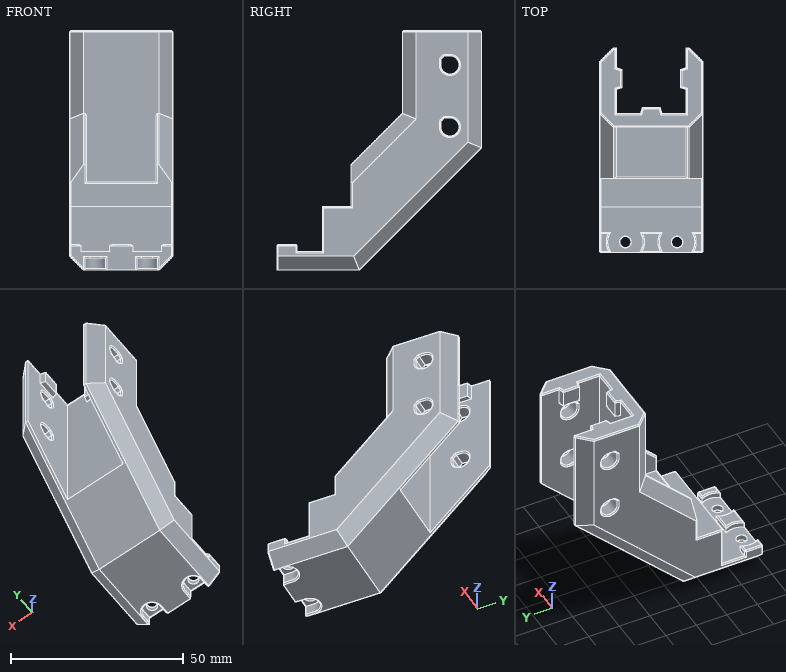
import cadquery as cq
import math

WIDTH = 30.0
DEPTH = 59.41
HEIGHT = 69.46
HALF_WIDTH = WIDTH / 2

COLUMN_BACK_HEIGHT = 34.0
COLUMN_FRONT_HEIGHT = 24.0
COLUMN_DEPTH = 23.0
STRUT_FRONT_Y = 21.5
LEDGE_Z = 18.4
RISER_Y = 13.2
FOOT_THICKNESS = 5.4
LUG_DEPTH = 5.9
LUG_HEIGHT = 2.0

BIG_BEVEL = 4.0
SMALL_BEVEL = 0.4
BEVEL_ANGLE = 45

CHANNEL_WIDTH = 20.2
FRONT_WALL = 4.0
KEY_TIP_WIDTH = 5.2
KEY_ROOT_WIDTH = 6.2
KEY_PROJECTION = 1.65
KEY_EMBED = 0.5
KEY_LENGTH = 5.5

SIDE_HOLE_RADIUS = 2.65
TEARDROP_REACH = 3.0
SIDE_HOLE_BACK_OFFSET = 9.2
SIDE_HOLE_TOP_OFFSET = 9.95
SIDE_HOLE_SPACING = 18.0

POCKET_WIDTH = CHANNEL_WIDTH
POCKET_FLOOR_Z = 25.5

SCREW_X = 7.5
SCREW_Y = 3.1
SCREW_HOLE_DIAMETER = 3.25
SEAT_RADIUS = 5.15
NUT_SLOT_RADIUS = 3.0
NUT_SLOT_HEIGHT = 3.5

BACK_BEND_Z = HEIGHT - COLUMN_BACK_HEIGHT
BOTTOM_BACK_Y = DEPTH - BACK_BEND_Z
COLUMN_FRONT_Y = DEPTH - COLUMN_DEPTH
FRONT_BEND_Z = HEIGHT - COLUMN_FRONT_HEIGHT
STRUT_TOP_Z = FRONT_BEND_Z - (COLUMN_FRONT_Y - STRUT_FRONT_Y)
LUG_TOP_Z = FOOT_THICKNESS + LUG_HEIGHT
CHANNEL_FRONT_Y = COLUMN_FRONT_Y + FRONT_WALL
CHANNEL_CENTER_Y = CHANNEL_FRONT_Y + CHANNEL_WIDTH / 2
SIDE_HOLE_Y = DEPTH - SIDE_HOLE_BACK_OFFSET
SIDE_HOLE_TOP_Z = HEIGHT - SIDE_HOLE_TOP_OFFSET
SIDE_HOLE_HEIGHTS = (SIDE_HOLE_TOP_Z - SIDE_HOLE_SPACING, SIDE_HOLE_TOP_Z)

TOLERANCE = 1e-3


def near(a, b):
    return abs(a - b) < TOLERANCE


def bevel_edges(body, size, wanted):
    """Chamfer every edge whose midpoint (X, Y, Z) satisfies the test."""
    edges = body.edges().filter(lambda e: wanted(*e.positionAt(0.5).toTuple()))
    return edges.chamfer(size)


def make_blank():
    outline = [
        (0, 0),
        (BOTTOM_BACK_Y, 0),
        (DEPTH, BACK_BEND_Z),
        (DEPTH, HEIGHT),
        (COLUMN_FRONT_Y, HEIGHT),
        (COLUMN_FRONT_Y, FRONT_BEND_Z),
        (STRUT_FRONT_Y, STRUT_TOP_Z),
        (STRUT_FRONT_Y, LEDGE_Z),
        (RISER_Y, LEDGE_Z),
        (RISER_Y, FOOT_THICKNESS),
        (LUG_DEPTH, FOOT_THICKNESS),
        (LUG_DEPTH, LUG_TOP_Z),
        (0, LUG_TOP_Z),
    ]
    return cq.Workplane("YZ").polyline(outline).close().extrude(HALF_WIDTH, both=True)


def bevel_outside(body):
    def is_big_bevel_edge(x, y, z):
        underside = near(z, 0) or near(y - z, BOTTOM_BACK_Y)
        column = near(y, DEPTH) or near(y, COLUMN_FRONT_Y)
        strut = near(y - z, COLUMN_FRONT_Y - FRONT_BEND_Z)
        return near(abs(x), HALF_WIDTH) and (underside or column or strut)

    def is_small_bevel_edge(x, y, z):
        in_front_of_strut = y < STRUT_FRONT_Y + TOLERANCE
        stepped_side = near(abs(x), HALF_WIDTH) and in_front_of_strut and not near(z, BIG_BEVEL)
        foot_front = near(y, 0) and z > TOLERANCE
        lug_back = near(y, LUG_DEPTH) and near(z, LUG_TOP_Z)
        return stepped_side or foot_front or lug_back

    body = bevel_edges(body, BIG_BEVEL, is_big_bevel_edge)
    return bevel_edges(body, SMALL_BEVEL, is_small_bevel_edge)


def make_key():
    """Tapered key on the XZ plane pointing +Y, with a root that sinks into the wall."""
    outline = [
        (-KEY_ROOT_WIDTH / 2, -KEY_EMBED),
        (KEY_ROOT_WIDTH / 2, -KEY_EMBED),
        (KEY_ROOT_WIDTH / 2, 0),
        (KEY_TIP_WIDTH / 2, KEY_PROJECTION),
        (-KEY_TIP_WIDTH / 2, KEY_PROJECTION),
        (-KEY_ROOT_WIDTH / 2, 0),
    ]
    bottom = HEIGHT - KEY_LENGTH
    return cq.Workplane("XY").workplane(offset=bottom).polyline(outline).close().extrude(KEY_LENGTH)


def cut_channel(body):
    channel = cq.Workplane("XY").box(
        CHANNEL_WIDTH, DEPTH - CHANNEL_FRONT_Y, HEIGHT, centered=(True, False, False)
    ).translate((0, CHANNEL_FRONT_Y, 0))
    body = body.cut(channel)
    key = make_key()
    body = body.union(key.translate((0, CHANNEL_FRONT_Y, 0)))
    for side in (-1, 1):
        side_key = key.rotate((0, 0, 0), (0, 0, 1), side * 90)
        body = body.union(side_key.translate((side * CHANNEL_WIDTH / 2, CHANNEL_CENTER_Y, 0)))
    return body.faces(">Z").edges().chamfer(SMALL_BEVEL)


def cut_side_holes(body):
    """Teardrop holes through both side walls; the clipped corner points toward -Y and +Z."""
    radius = SIDE_HOLE_RADIUS
    clip = math.sqrt(2) * TEARDROP_REACH - radius
    diagonal = radius / math.sqrt(2)
    teardrop = (
        cq.Workplane("YZ")
        .moveTo(0, radius)
        .lineTo(-clip, radius)
        .lineTo(-radius, clip)
        .lineTo(-radius, 0)
        .threePointArc((diagonal, -diagonal), (0, radius))
        .close()
        .extrude(WIDTH, both=True)
    )
    for z in SIDE_HOLE_HEIGHTS:
        body = body.cut(teardrop.translate((0, SIDE_HOLE_Y, z)))

    def is_hole_rim(x, y, z):
        on_wall = near(abs(x), HALF_WIDTH) or near(abs(x), CHANNEL_WIDTH / 2)
        return on_wall and any(
            math.hypot(y - SIDE_HOLE_Y, z - hole_z) < TEARDROP_REACH + TOLERANCE
            for hole_z in SIDE_HOLE_HEIGHTS
        )

    return bevel_edges(body, SMALL_BEVEL, is_hole_rim)


def cut_front_pocket(body):
    pocket = cq.Workplane("XY").box(
        POCKET_WIDTH, COLUMN_FRONT_Y, FRONT_BEND_Z, centered=(True, False, False)
    ).translate((0, 0, POCKET_FLOOR_Z))
    body = body.cut(pocket)

    def is_pocket_rim(x, y, z):
        on_wall = near(abs(x), POCKET_WIDTH / 2) and z > POCKET_FLOOR_Z + TOLERANCE
        on_front = near(y, STRUT_FRONT_Y)
        on_slope = near(y - z, COLUMN_FRONT_Y - FRONT_BEND_Z)
        on_sill = near(z, POCKET_FLOOR_Z) and on_front
        return on_sill or (on_wall and (on_front or on_slope))

    return bevel_edges(body, SMALL_BEVEL, is_pocket_rim)


def flared_disc(radius, height):
    """Cylinder whose top end opens out by the small bevel."""
    flare = (
        cq.Workplane("XY")
        .workplane(offset=height - SMALL_BEVEL)
        .circle(radius)
        .extrude(SMALL_BEVEL, taper=-BEVEL_ANGLE)
    )
    return cq.Workplane("XY").circle(radius).extrude(height).union(flare)


def nut_slot():
    """U-shaped slot centred on the screw, flared at the underside and at the front mouth."""
    def u_outline(radius):
        return (
            cq.Workplane("XY")
            .moveTo(-radius, -SCREW_Y)
            .lineTo(radius, -SCREW_Y)
            .lineTo(radius, 0)
            .threePointArc((0, radius), (-radius, 0))
            .close()
        )

    wide = NUT_SLOT_RADIUS + SMALL_BEVEL
    slot = u_outline(NUT_SLOT_RADIUS).extrude(NUT_SLOT_HEIGHT)
    underside_flare = u_outline(wide).extrude(SMALL_BEVEL, taper=BEVEL_ANGLE)
    mouth_flare = (
        cq.Workplane("XZ", origin=(0, -SCREW_Y, 0))
        .rect(2 * wide, 2 * (NUT_SLOT_HEIGHT + SMALL_BEVEL))
        .extrude(-SMALL_BEVEL, taper=BEVEL_ANGLE)
    )
    return slot.union(underside_flare).union(mouth_flare)


def cut_screw_seat(body, x):
    """Screw hole with a round seat on top and a nut slot below."""
    hole = cq.Workplane("XY").circle(SCREW_HOLE_DIAMETER / 2).extrude(FOOT_THICKNESS)
    seat = flared_disc(SEAT_RADIUS, LUG_HEIGHT)
    body = body.cut(hole.translate((x, SCREW_Y, 0)))
    body = body.cut(seat.translate((x, SCREW_Y, FOOT_THICKNESS)))
    return body.cut(nut_slot().translate((x, SCREW_Y, 0)))


result = cut_channel(bevel_outside(make_blank()))
result = cut_side_holes(result)
result = cut_front_pocket(result)
for screw_x in (-SCREW_X, SCREW_X):
    result = cut_screw_seat(result, screw_x)